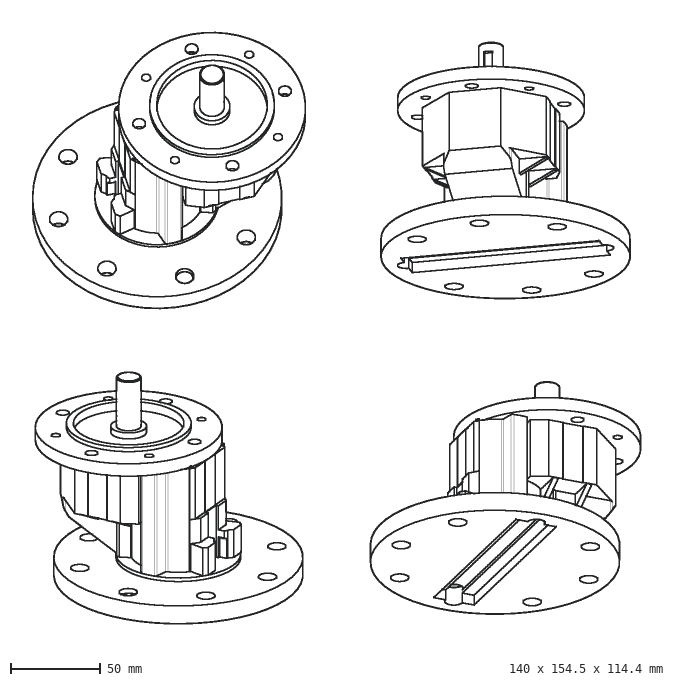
import cadquery as cq

shaft_y = 32.0

base_radius = 70.0
base_thickness = 11.0
base_spigot_radius = 35.0
base_spigot_height = 2.2
base_bolt_circle = 57.5
base_hole_radius = 5.1
base_hole_count = 8
base_slot_roof = 3.0
base_channel_half_width = 12.4
base_channel_depth = 6.0

motor_radius = 52.5
motor_thickness = 7.5
motor_spigot_radius = 35.0
motor_spigot_height = 2.5
motor_recess_radius = 31.0
motor_recess_depth = 5.4
motor_bolt_circle = 42.5
motor_large_hole_radius = 3.5
motor_small_hole_radius = 2.5

shaft_radius = 7.0
shaft_chamfer = 0.6
shaft_length = 30.1
shoulder_radius = 10.0
shoulder_height = 3.7
keyway_width = 5.0
keyway_depth = 3.0
keyway_length = 19.2
keyway_end_gap = 5.4

housing_bottom = base_thickness + base_spigot_height
motor_bottom = 76.0
corner_top = 77.1
block_bottom = 41.3
tier_top = 44.8
pad_top = 30.1

body_radius = 26.9
rear_waist_half_width = 18.2
rear_waist_y = 20.4
rear_half_width = 20.5
rear_corner_y = 26.5
rear_end_half_width = 9.3
rear_y = 32.3
front_edge_half_width = 19.6
front_edge_y = -18.2
panel_half_width = 17.0
panel_y = -20.4
corner_half_width = 17.9
corner_y = -19.6
rib_half_width = 5.9
upper_rib_y = -20.5
lower_rib_y = -21.0
tier_half_width = 14.7
tier_y = -22.5

pad_root_x = 18.8
pad_outer_x = 21.2
pad_outer_y = -27.5
pad_face_end_x = 19.0
pad_face_start_x = 10.5
pad_y = -29.8
pad_inner_x = 8.2
pad_inner_y = -27.3
pad_notch_y = -26.1
pad_notch_radius = 3.1

ear_radius = 34.9
ear_root_x = 15.5
ear_root_half_width = 9.3
ear_tip_half_width = 4.8
ear_fillet = 1.4

block_half_width = 36.0
block_rear_y = 67.5
block_chamfer_y = 46.5
block_rear_half_width = 15.0
block_front_y = 17.3
block_foot_half_width = 31.7
block_foot_y = 7.7
groove_depth = 0.5
groove_front_y = 26.0
groove_rear_y = 38.2

hopper_half_width = 19.6
hopper_corner_radius = 2.3
hopper_knee_y = 59.5
hopper_knee_z = 30.3
hopper_toe_y = 28.7
hopper_toe_z = 14.7

gusset_width = 3.1
gusset_height = 8.3
gusset_spacing = 20.5

arch_half_width = 7.3
arch_top = 25.6
arch_corner = 1.2

motor_spigot_top = motor_bottom + motor_thickness + motor_spigot_height
recess_floor = motor_spigot_top - motor_recess_depth


def disc(radius, bottom, height, y=0):
    return cq.Workplane("XY", origin=(0, y, bottom)).circle(radius).extrude(height)


def prism(points, bottom, top):
    return cq.Workplane("XY").workplane(offset=bottom).polyline(points).close().extrude(top - bottom)


def mirrored(half):
    """Close a right-hand half outline into a full one, symmetric about X = 0."""
    return half + [(-x, y) for x, y in reversed(half)]


def block(x0, x1, y0, y1, z0, z1):
    return cq.Workplane("XY").box(x1 - x0, y1 - y0, z1 - z0, centered=False).translate((x0, y0, z0))


def bolt_holes(radius, circle, count, first_angle, bottom, height, y=0):
    return (
        cq.Workplane("XY", origin=(0, y, bottom))
        .polarArray(circle, first_angle, 360, count)
        .circle(radius)
        .extrude(height)
    )


def underside_channel(half_width, depth):
    """Channel across the underside, between the two bolt holes that lie on the X axis."""
    return block(-base_bolt_circle, base_bolt_circle, -half_width, half_width, 0, depth)


def make_base_flange():
    flange = disc(base_radius, 0, base_thickness)
    flange = flange.union(disc(base_spigot_radius, base_thickness, base_spigot_height))
    slot = underside_channel(base_hole_radius, base_thickness - base_slot_roof)
    channel = underside_channel(base_channel_half_width, base_channel_depth)
    holes = bolt_holes(base_hole_radius, base_bolt_circle, base_hole_count, 0, 0, base_thickness)
    return flange.cut(slot).cut(channel).cut(holes)


def make_motor_flange():
    flange = disc(motor_radius, motor_bottom, motor_thickness, shaft_y)
    spigot = disc(motor_spigot_radius, motor_bottom, motor_thickness + motor_spigot_height, shaft_y)
    recess = disc(motor_recess_radius, recess_floor, motor_recess_depth, shaft_y)
    flange = flange.union(spigot).cut(recess)
    for radius, angle in ((motor_large_hole_radius, 0), (motor_small_hole_radius, 45)):
        flange = flange.cut(
            bolt_holes(radius, motor_bolt_circle, 4, angle, motor_bottom, motor_thickness, shaft_y)
        )
    return flange


def make_shaft():
    shoulder_top = recess_floor + shoulder_height
    shaft = disc(shaft_radius, shoulder_top, shaft_length, shaft_y)
    shaft = shaft.faces(">Z").chamfer(shaft_chamfer)
    shaft = shaft.union(disc(shoulder_radius, recess_floor, shoulder_height, shaft_y))
    keyway_top = shoulder_top + shaft_length - keyway_end_gap
    keyway = block(
        -keyway_width / 2, keyway_width / 2,
        shaft_y + shaft_radius - keyway_depth, shaft_y + shaft_radius,
        keyway_top - keyway_length, keyway_top,
    )
    return shaft.cut(keyway)


def make_gear_case():
    """Round case, flat at the front, with a filleted ear on the +X and -X sides."""
    height = motor_bottom - housing_bottom
    half_outline = [
        (ear_root_x, -ear_root_half_width), (ear_radius, -ear_tip_half_width),
        (ear_radius, ear_tip_half_width), (ear_root_x, ear_root_half_width),
    ]
    ears = prism(mirrored(half_outline), housing_bottom, motor_bottom)
    ears = ears.intersect(disc(ear_radius, housing_bottom, height))
    case = disc(body_radius, housing_bottom, height).union(ears)
    case = case.edges("|Z").fillet(ear_fillet)
    return case.intersect(
        block(-ear_radius, ear_radius, front_edge_y, ear_radius, housing_bottom, motor_bottom)
    )


def make_rear():
    """Rear end of the case, flared towards two chamfered corners."""
    outline = mirrored([
        (rear_waist_half_width, 0), (rear_waist_half_width, rear_waist_y),
        (rear_half_width, rear_corner_y), (hopper_half_width, hopper_toe_y), (rear_end_half_width, rear_y),
    ])
    return prism(outline, housing_bottom, block_bottom)


def make_front():
    """Stepped front wall: upper panel, lower tier and the rib down the middle."""
    root = (front_edge_half_width, 0)
    edge = (front_edge_half_width, front_edge_y)
    panel = prism(mirrored([root, edge, (panel_half_width, panel_y)]), housing_bottom, motor_bottom)
    tier = prism(mirrored([root, edge, (tier_half_width, tier_y)]), housing_bottom, tier_top)
    rib_gap = block(-rib_half_width, rib_half_width, tier_y, lower_rib_y, housing_bottom, tier_top)
    rib = block(-rib_half_width, rib_half_width, upper_rib_y, 0, housing_bottom, motor_bottom)
    front = panel.union(tier.cut(rib_gap)).union(rib)
    corner = prism([edge, (corner_half_width, corner_y), (corner_half_width, front_edge_y)],
                   housing_bottom, corner_top)
    return front.union(corner).union(corner.mirror("YZ"))


def make_pad():
    """Foot pad on the +X side of the front rib."""
    return (
        cq.Workplane("XY", origin=(0, 0, housing_bottom))
        .moveTo(rib_half_width, front_edge_y)
        .lineTo(pad_root_x, front_edge_y)
        .lineTo(pad_outer_x, pad_outer_y)
        .lineTo(pad_face_end_x, pad_y)
        .lineTo(pad_face_start_x, pad_y)
        .lineTo(pad_inner_x, pad_inner_y)
        .radiusArc((rib_half_width, pad_notch_y), pad_notch_radius)
        .close()
        .extrude(pad_top - housing_bottom)
    )


def block_outline():
    return mirrored([
        (block_foot_half_width, block_foot_y),
        (block_half_width, block_front_y),
        (block_half_width, block_chamfer_y),
        (block_rear_half_width, block_rear_y),
    ])


def make_block():
    """Wide upper block around the shaft axis, with a shallow groove down each side."""
    body = prism(block_outline(), block_bottom, motor_bottom)
    for side in (-1, 1):
        inner, outer = sorted((side * (block_half_width - groove_depth), side * block_half_width))
        body = body.cut(block(inner, outer, groove_front_y, groove_rear_y, block_bottom, motor_bottom))
    return body


def make_hopper():
    """Narrow part below the block, sloping down to the base."""
    side_end_y = block_rear_y + block_rear_half_width - hopper_half_width
    outline = mirrored([
        (hopper_half_width, rear_corner_y), (hopper_half_width, side_end_y),
        (block_rear_half_width, block_rear_y),
    ])
    body = prism(outline, housing_bottom, block_bottom)
    rear_corners = cq.selectors.BoxSelector(
        (-block_half_width, side_end_y - hopper_corner_radius, 0),
        (block_half_width, side_end_y + hopper_corner_radius, block_bottom),
    )
    body = body.edges("|Z").edges(rear_corners).fillet(hopper_corner_radius)
    profile = [
        (0, block_bottom), (block_rear_y, block_bottom), (hopper_knee_y, hopper_knee_z),
        (hopper_toe_y, hopper_toe_z), (hopper_toe_y, housing_bottom), (0, housing_bottom),
    ]
    slope = cq.Workplane("YZ").polyline(profile).close().extrude(hopper_half_width, both=True)
    return body.intersect(slope)


def make_gusset(y):
    """Pair of sloping gussets that carry the overhang of the block on both sides."""
    outer = block_half_width - groove_depth
    profile = [
        (-outer, block_bottom), (outer, block_bottom),
        (hopper_half_width, block_bottom - gusset_height),
        (-hopper_half_width, block_bottom - gusset_height),
    ]
    return (
        cq.Workplane("XZ", origin=(0, y, 0)).polyline(profile).close()
        .extrude(gusset_width / 2, both=True)
    )


def make_housing():
    housing = make_gear_case()
    for part in (make_rear(), make_front(), make_block(), make_hopper()):
        housing = housing.union(part)
    pad = make_pad()
    housing = housing.union(pad).union(pad.mirror("YZ"))
    for side in (-1, 1):
        housing = housing.union(make_gusset(shaft_y + side * gusset_spacing / 2))
    arch = block(-arch_half_width, arch_half_width, pad_y, tier_y, housing_bottom, arch_top)
    arch = arch.edges("|Y and >Z").fillet(arch_corner)
    return housing.cut(arch)


base_flange = make_base_flange()
housing = make_housing()
motor_flange = make_motor_flange()
shaft = make_shaft()

result = cq.Compound.makeCompound([
    base_flange.val(),
    housing.val(),
    motor_flange.val(),
    shaft.val(),
])